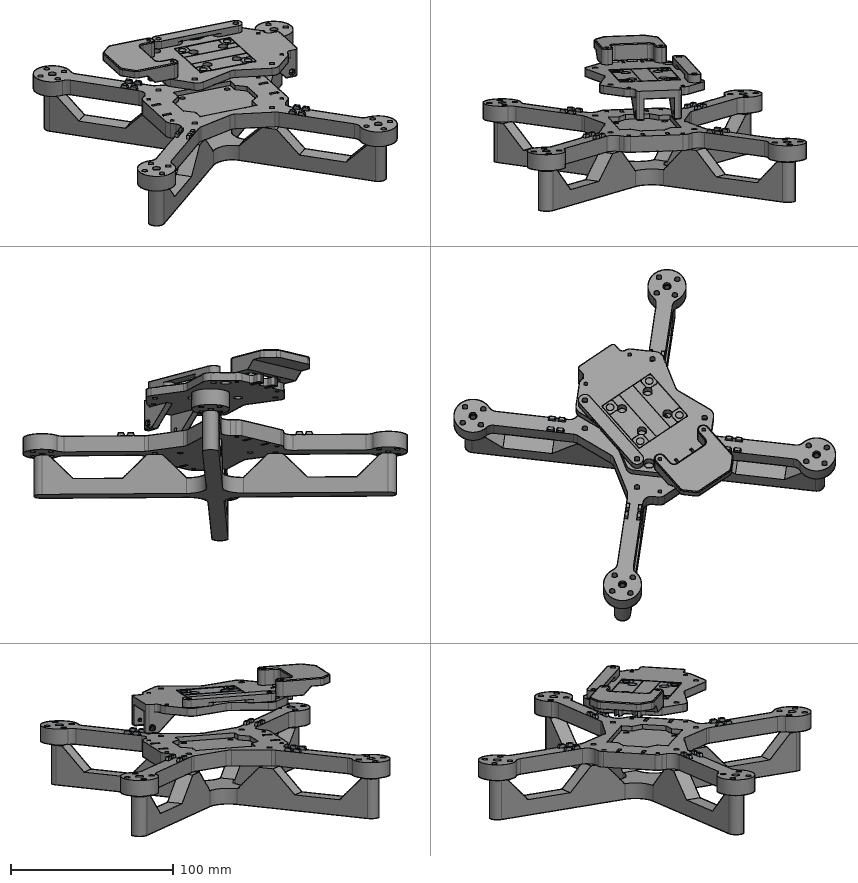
import cadquery as cq
import math

total_height = 77.27
foot_height = 25.0
gear_bar_height = 10.0
frame_bottom = 27.0
frame_thickness = 10.0
plate_top = 67.0
plate_thickness = 5.0
frame_top = frame_bottom + frame_thickness
plate_bottom = plate_top - plate_thickness

overall_width = 174.52
motor_radius = 11.75
motor_offset = overall_width / 2 - motor_radius
motor_distance = motor_offset * math.sqrt(2)
arm_width = 10.0
arm_angles = [45, 135, 225, 315]
motor_screw_offset = 8.0
shaft_hole_diameter = 3.3
shaft_recess_diameter = 4.7
shaft_recess_depth = 2.0

body_half_length = 41.5
body_corner_sum = 60.2
body_waist = 24.7
waist_slope = 0.332
outline_fillet = 5.5

screw_diameter = 3.3
post_screw_offset = 26.3
mount_screw_x = 17.0
mount_screw_y = 37.4
mount_screw_diameter = 2.2
large_stack_offset = 15.25
small_stack_offset = 10.0
small_stack_diameter = 5.6


def mirrored(x, y):
    """The four points mirrored about both axes."""
    return [(sx * x, sy * y) for sx in (1, -1) for sy in (1, -1)]


def drill(body, points, diameter, top, depth):
    """Cut round holes down from the given height."""
    holes = cq.Workplane("XY").workplane(offset=top).pushPoints(points).circle(diameter / 2).extrude(-depth)
    return body.cut(holes)


def body_outline(bottom, height):
    """Waisted octagon prism with sharp corners."""
    shoulder_y = (body_corner_sum - body_waist) / (1 + waist_slope)
    shoulder_x = body_corner_sum - shoulder_y
    end_x = body_corner_sum - body_half_length
    right_side = [
        (end_x, -body_half_length),
        (shoulder_x, -shoulder_y),
        (body_waist, 0),
        (shoulder_x, shoulder_y),
        (end_x, body_half_length),
    ]
    left_side = [(-x, y) for x, y in reversed(right_side)]
    return cq.Workplane("XY").workplane(offset=bottom).polyline(right_side + left_side).close().extrude(height)


gear_center_fillet = 12.5
inner_foot_start = 17.5
inner_foot_top_length = 9.5
outer_foot_start = 87.5


def gear_arm(angle):
    """One gear arm along a diagonal: a low bar with two risers and a rounded tip."""
    rise = foot_height - gear_bar_height
    inner_top = inner_foot_start + rise
    inner_top_end = inner_top + inner_foot_top_length
    tip = motor_distance + arm_width / 2
    side = (
        cq.Workplane("XZ")
        .polyline([
            (0, 0),
            (tip, 0),
            (tip, foot_height),
            (outer_foot_start + rise, foot_height),
            (outer_foot_start, gear_bar_height),
            (inner_top_end + rise, gear_bar_height),
            (inner_top_end, foot_height),
            (inner_top, foot_height),
            (inner_foot_start, gear_bar_height),
            (0, gear_bar_height),
        ])
        .close()
        .extrude(arm_width / 2, both=True)
    )
    rounded = cq.Workplane("XY").slot2D(2 * tip, arm_width).extrude(foot_height)
    return side.intersect(rounded).rotate((0, 0, 0), (0, 0, 1), angle)


def make_landing_gear():
    gear = gear_arm(arm_angles[0])
    for angle in arm_angles[1:]:
        gear = gear.union(gear_arm(angle))
    inner_corner = arm_width / math.sqrt(2)
    corners = cq.selectors.BoxSelector(
        (-inner_corner - 1, -inner_corner - 1, -1), (inner_corner + 1, inner_corner + 1, foot_height)
    )
    return gear.edges("|Z").edges(corners).fillet(gear_center_fillet)


pocket_half_width = 19.3
pocket_half_length = 25.3
pocket_depth = 3.0
pocket_neck_outer = 12.5
pocket_neck_inner = 7.5

strap_slot_x = 7.75
strap_slot_y = 36.5
strap_slot_width = 1.8
strap_slot_length = 5.5

clip_starts = [49.6, 55.6]
clip_length = 4.8
clip_height = 2.0
clip_slope = 0.8
clip_width = 2.0
clip_offset = 3.8


def frame_blank():
    """Body, four arms and motor discs joined, with every corner of the outline rounded."""
    blank = body_outline(frame_bottom, frame_thickness)
    plane = cq.Workplane("XY").workplane(offset=frame_bottom)
    for angle in arm_angles:
        arm = plane.center(motor_distance / 2, 0).rect(motor_distance, arm_width).extrude(frame_thickness)
        blank = blank.union(arm.rotate((0, 0, 0), (0, 0, 1), angle))
    discs = plane.pushPoints(mirrored(motor_offset, motor_offset)).circle(motor_radius).extrude(frame_thickness)
    return blank.union(discs).clean().edges("|Z").fillet(outline_fillet)


def frame_pocket():
    """Square electronics pocket with a narrower extension toward each end."""
    corner = [
        (pocket_neck_inner, pocket_half_length),
        (pocket_neck_outer, pocket_half_width),
        (pocket_half_width, pocket_half_width),
    ]
    right_side = corner + [(x, -y) for x, y in reversed(corner)]
    left_side = [(-x, y) for x, y in reversed(right_side)]
    plane = cq.Workplane("XY").workplane(offset=frame_top)
    return plane.polyline(right_side + left_side).close().extrude(-pocket_depth)


def wire_clips(angle):
    """Two toothed rows along the edges of one arm."""
    clips = cq.Workplane("XY")
    for start in clip_starts:
        for offset in (-clip_offset, clip_offset):
            tooth = (
                cq.Workplane("XZ", origin=(0, offset, frame_top))
                .polyline([
                    (start, 0),
                    (start + clip_length, 0),
                    (start + clip_length - clip_slope, clip_height),
                    (start + clip_slope, clip_height),
                ])
                .close()
                .extrude(clip_width / 2, both=True)
            )
            clips = clips.add(tooth)
    return clips.combine().rotate((0, 0, 0), (0, 0, 1), angle)


def make_frame():
    frame = frame_blank().cut(frame_pocket())
    for angle in arm_angles:
        frame = frame.union(wire_clips(angle))
    for x, y in mirrored(motor_offset, motor_offset):
        screws = [(x + motor_screw_offset, y), (x - motor_screw_offset, y)]
        screws += [(x, y + motor_screw_offset), (x, y - motor_screw_offset)]
        frame = drill(frame, screws, screw_diameter, frame_top, frame_thickness)
    motors = mirrored(motor_offset, motor_offset)
    frame = drill(frame, motors, shaft_hole_diameter, frame_top, frame_thickness)
    frame = drill(frame, motors, shaft_recess_diameter, frame_top, shaft_recess_depth)
    posts = mirrored(post_screw_offset, post_screw_offset)
    stack = mirrored(large_stack_offset, large_stack_offset)
    mounts = mirrored(mount_screw_x, mount_screw_y)
    frame = drill(frame, posts + stack, screw_diameter, frame_top, frame_thickness)
    frame = drill(frame, mounts, mount_screw_diameter, frame_top, frame_thickness)
    slots = (
        cq.Workplane("XY")
        .workplane(offset=frame_top)
        .pushPoints(mirrored(strap_slot_x, strap_slot_y))
        .rect(strap_slot_width, strap_slot_length)
        .extrude(-frame_thickness)
    )
    return frame.cut(slots)


camera_end_y = 49.8
camera_outer_x = 14.1
camera_leg_width = 4.6
camera_leg_bottom = 48.4
camera_leg_length = 8.3
camera_root_fillet = 3.0
camera_corner_fillet = 1.8
camera_pivot_y = 45.8
camera_pivot_z = 52.1
camera_pivot_diameter = 2.2
camera_head_diameter = 4.0
camera_head_depth = 1.5
camera_leg_chamfer = 0.7

lug_inner_x = 3.5
lug_outer_x = 8.3
lug_end_y = -48.2
lug_fillet = 2.0
lug_slot_x = 6.0
lug_slot_width = 1.5
lug_slot_start_y = -38.6

antenna_hole_diameter = 6.5
antenna_hole_center = (-20.7, -31.2)

bay_half_width = 18.9
bay_step = 0.2
strip_inner_x = 5.4
pad_inner = 11.0
pad_fillet = 1.5
pad_recess_diameter = 4.7


def block(x0, x1, y0, y1, z0, z1):
    """Box between two opposite corners."""
    return cq.Workplane("XY").box(x1 - x0, y1 - y0, z1 - z0, centered=False).translate((x0, y0, z0))


def plate_blank():
    """Rounded body with the camera ledge at the +Y end and two slotted lugs at the -Y end."""
    blank = body_outline(plate_bottom, plate_thickness).edges("|Z").fillet(outline_fillet)
    ledge = block(-camera_outer_x, camera_outer_x, 0, camera_end_y, plate_bottom, plate_top)
    blank = blank.union(ledge.edges("|Z and >Y").fillet(camera_corner_fillet))
    for x0, x1 in ((lug_inner_x, lug_outer_x), (-lug_outer_x, -lug_inner_x)):
        lug = block(x0, x1, lug_end_y, 0, plate_bottom, plate_top)
        blank = blank.union(lug.edges("|Z and <Y").fillet(lug_fillet))

    def root_box(x, y):
        return cq.selectors.BoxSelector((x - 1, y - 1, plate_bottom), (x + 1, y + 1, plate_top))

    for x in (-camera_outer_x, camera_outer_x):
        blank = blank.edges("|Z").edges(root_box(x, body_half_length)).fillet(camera_root_fillet)
    for x in (-lug_outer_x, -lug_inner_x, lug_inner_x, lug_outer_x):
        blank = blank.edges("|Z").edges(root_box(x, -body_half_length)).fillet(lug_fillet)
    return blank


def camera_leg(side):
    """Leg hanging under the camera ledge, braced by a 45 degree slope, with a pivot screw hole."""
    back_y = camera_end_y - camera_leg_length
    brace_length = plate_bottom - camera_leg_bottom - camera_leg_chamfer
    leg = (
        cq.Workplane("YZ", origin=(camera_outer_x - camera_leg_width, 0, 0))
        .polyline([
            (camera_end_y, plate_bottom),
            (camera_end_y, camera_leg_bottom),
            (back_y + camera_leg_chamfer, camera_leg_bottom),
            (back_y, camera_leg_bottom + camera_leg_chamfer),
            (back_y - brace_length, plate_bottom),
        ])
        .close()
        .extrude(camera_leg_width)
    )
    leg = leg.edges("|Z and >Y and >X").fillet(camera_corner_fillet)
    leg = leg.faces("<Z").edges("not <Y").chamfer(camera_leg_chamfer)
    pivot = cq.Workplane("YZ").center(camera_pivot_y, camera_pivot_z)
    leg = leg.cut(pivot.circle(camera_pivot_diameter / 2).extrude(camera_outer_x))
    head = pivot.workplane(offset=camera_outer_x).circle(camera_head_diameter / 2).extrude(-camera_head_depth)
    leg = leg.cut(head)
    return leg if side > 0 else leg.mirror("YZ")


def cut_board_bay(plate):
    """Shallow square bay; two strips are one step deeper and leave a screw pad in each corner."""
    w = bay_half_width
    floor = plate_top - bay_step
    plate = plate.cut(block(-w, w, -w, w, floor, plate_top))
    for x0, x1 in ((strip_inner_x, w), (-w, -strip_inner_x)):
        plate = plate.cut(block(x0, x1, -w, w, floor - bay_step, floor))
    for x, y in mirrored(1, 1):
        pad_center = (x * (w + pad_inner) / 2, y * (w + pad_inner) / 2, floor - bay_step / 2)
        pad = cq.Workplane("XY").box(w - pad_inner, w - pad_inner, bay_step).edges("|Z").fillet(pad_fillet)
        plate = plate.union(pad.translate(pad_center))
    pads = mirrored(large_stack_offset, large_stack_offset)
    return drill(plate, pads, pad_recess_diameter, plate_top, 2 * bay_step)


def make_top_plate():
    plate = plate_blank()
    for side in (-1, 1):
        plate = plate.union(camera_leg(side))
        x = side * lug_slot_x
        plate = plate.cut(block(x - lug_slot_width / 2, x + lug_slot_width / 2,
                                lug_end_y, lug_slot_start_y, plate_bottom, plate_top))
    plate = cut_board_bay(plate)
    stack = mirrored(small_stack_offset, small_stack_offset)
    posts = mirrored(post_screw_offset, post_screw_offset)
    mounts = mirrored(mount_screw_x, mount_screw_y)
    plate = drill(plate, stack, small_stack_diameter, plate_top, plate_thickness)
    plate = drill(plate, posts, screw_diameter, plate_top, plate_thickness)
    plate = drill(plate, mounts, mount_screw_diameter, plate_top, plate_thickness)
    return drill(plate, [antenna_hole_center], antenna_hole_diameter, plate_top, plate_thickness)


bar_width = 8.0
bar_height = 5.0
bar_gap_height = 2.2
bar_foot_inner_y = 10.5


def make_side_bar():
    """Bridge bar over two slot-shaped feet, screwed to the left edge of the plate."""
    end_y = post_screw_offset + bar_width / 2
    plane = cq.Workplane("XY", origin=(-post_screw_offset, 0, plate_top))
    bar = plane.slot2D(2 * end_y, bar_width, 90).extrude(bar_height)
    middle = plane.rect(bar_width, 2 * bar_foot_inner_y + bar_width).extrude(bar_gap_height)
    feet = plane.pushPoints([(0, -end_y), (0, end_y)])
    feet = feet.slot2D(2 * (end_y - bar_foot_inner_y), bar_width, 90).extrude(bar_gap_height)
    bar = bar.cut(middle.cut(feet))
    screws = [(-post_screw_offset, post_screw_offset), (-post_screw_offset, -post_screw_offset)]
    return drill(bar, screws, screw_diameter, plate_top + bar_height, bar_height)


gps_half_width = 20.4
gps_front_y = -70.6
gps_back_y = -33.7
gps_corner_cut = 7.5
gps_notch_half_width = 13.3
gps_notch_y = -46.0
gps_plate_thickness = 5.0
gps_foot_front_y = -50.5
gps_corner_fillet = 3.5
gps_notch_fillet = 3.0
gps_top_chamfer = 0.6


def make_gps_mount():
    """Platform overhanging the -Y end, carried by a forked foot with a sloped front."""
    height = total_height - plate_top
    right_side = [
        (gps_half_width - gps_corner_cut, gps_front_y),
        (gps_half_width, gps_front_y + gps_corner_cut),
        (gps_half_width, gps_back_y),
        (gps_notch_half_width, gps_back_y),
        (gps_notch_half_width, gps_notch_y),
    ]
    left_side = [(-x, y) for x, y in reversed(right_side)]
    mount = cq.Workplane("XY").workplane(offset=plate_top).polyline(right_side + left_side).close().extrude(height)
    notch_box = cq.selectors.BoxSelector(
        (-gps_half_width, gps_notch_y - 1, plate_top), (gps_half_width, gps_notch_y + 1, total_height)
    )
    mount = mount.edges("|Z").edges(notch_box).fillet(gps_notch_fillet)
    mount = mount.edges("|Z and (>Y or <Y or >X or <X)").fillet(gps_corner_fillet)
    mount = mount.faces(">Z").edges().chamfer(gps_top_chamfer)
    overhang_z = total_height - gps_plate_thickness
    undercut = (
        cq.Workplane("YZ")
        .polyline([
            (gps_foot_front_y, plate_top),
            (gps_foot_front_y - (overhang_z - plate_top), overhang_z),
            (gps_front_y, overhang_z),
            (gps_front_y, plate_top),
        ])
        .close()
        .extrude(gps_half_width, both=True)
    )
    mount = mount.cut(undercut)
    screws = [(-mount_screw_x, -mount_screw_y), (mount_screw_x, -mount_screw_y)]
    return drill(mount, screws, mount_screw_diameter, total_height, height)


landing_gear = make_landing_gear()
frame = make_frame()
top_plate = make_top_plate()
side_bar = make_side_bar()
gps_mount = make_gps_mount()

result = cq.Compound.makeCompound([
    landing_gear.val(),
    frame.val(),
    top_plate.val(),
    side_bar.val(),
    gps_mount.val(),
])